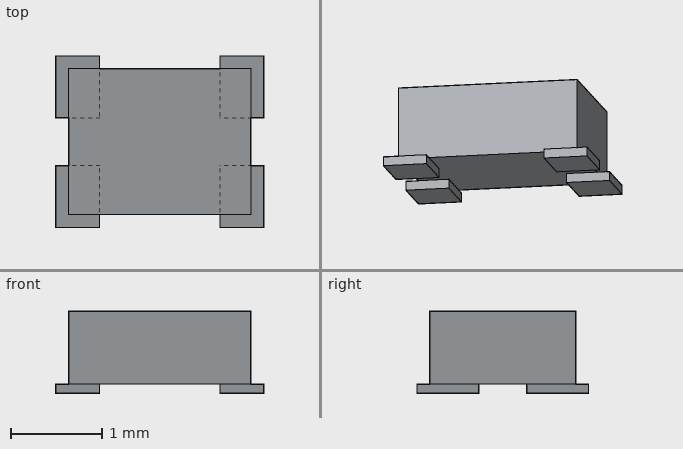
import cadquery as cq

footprint_length = 2.28
footprint_width = 1.88

housing_length = 2.0
housing_width = 1.6
housing_height = 0.8

pad_length = 0.48
pad_width = 0.68
pad_thickness = 0.1

pad_offset_x = (footprint_length - pad_length) / 2
pad_offset_y = (footprint_width - pad_width) / 2


def make_housing():
    """Plain block resting on the top faces of the pads."""
    return (
        cq.Workplane("XY")
        .workplane(offset=pad_thickness)
        .rect(housing_length, housing_width)
        .extrude(housing_height)
    )


def make_pad(center_x, center_y):
    """Flat rectangular pad with its underside at Z = 0."""
    return (
        cq.Workplane("XY")
        .center(center_x, center_y)
        .rect(pad_length, pad_width)
        .extrude(pad_thickness)
    )


housing = make_housing()

pads = []
for side_x in (-1, 1):
    for side_y in (-1, 1):
        pad = make_pad(side_x * pad_offset_x, side_y * pad_offset_y)
        pads.append(pad.val())

result = cq.Compound.makeCompound([housing.val(), *pads])